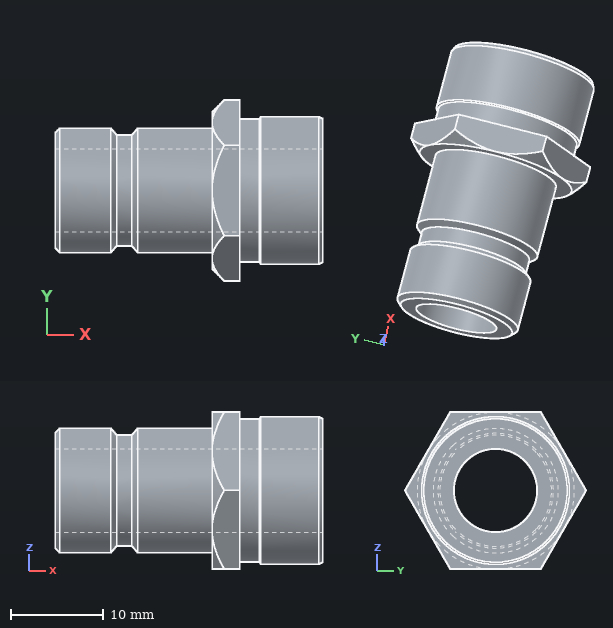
import cadquery as cq
import math

total_length = 29.0
hex_start = 17.0
hex_end = 20.0
collar_start = 22.13

spigot_diameter = 13.5
spigot_chamfer = 0.52
groove_diameter = 12.05
groove_start = 6.03
groove_end = 8.95
groove_shoulder = 0.65

hex_across_flats = 17.0
hex_across_corners = hex_across_flats / math.cos(math.radians(30))

neck_diameter = 15.52
collar_diameter = 16.0
collar_lead_in_length = 0.15
collar_chamfer_length = 0.45
collar_chamfer_depth = 0.23

bore_diameter = 9.0


def cylinder(diameter, start, end):
    """Solid cylinder on the X axis between two stations."""
    return cq.Workplane("YZ", origin=(start, 0, 0)).circle(diameter / 2).extrude(end - start)


def revolve_profile(points):
    """Revolve an (X, radius) outline about the X axis."""
    return cq.Workplane("XY").polyline(points).close().revolve(360, (0, 0, 0), (1, 0, 0))


def make_spigot():
    outer = spigot_diameter / 2
    floor = groove_diameter / 2
    return revolve_profile([
        (0, 0),
        (0, outer - spigot_chamfer),
        (spigot_chamfer, outer),
        (groove_start, outer),
        (groove_start + groove_shoulder, floor),
        (groove_end - groove_shoulder, floor),
        (groove_end, outer),
        (hex_start, outer),
        (hex_start, 0),
    ])


def make_hexagon():
    """Hexagon with corners on the Y axis, trimmed by a cone starting at the flats."""
    prism = (
        cq.Workplane("YZ", origin=(hex_start, 0, 0))
        .polygon(6, hex_across_corners)
        .extrude(hex_end - hex_start)
    )
    flat_radius = hex_across_flats / 2
    cone = revolve_profile([
        (hex_start, 0),
        (hex_start, flat_radius),
        (hex_end, flat_radius + hex_end - hex_start),
        (hex_end, 0),
    ])
    return prism.intersect(cone)


def make_collar():
    """Collar rising from the neck on a steep cone, chamfered at the far end."""
    outer = collar_diameter / 2
    return revolve_profile([
        (collar_start, 0),
        (collar_start, neck_diameter / 2),
        (collar_start + collar_lead_in_length, outer),
        (total_length - collar_chamfer_length, outer),
        (total_length, outer - collar_chamfer_depth),
        (total_length, 0),
    ])


neck = cylinder(neck_diameter, hex_end, collar_start)
bore = cylinder(bore_diameter, 0, total_length)

result = make_spigot().union(make_hexagon()).union(neck).union(make_collar()).cut(bore)